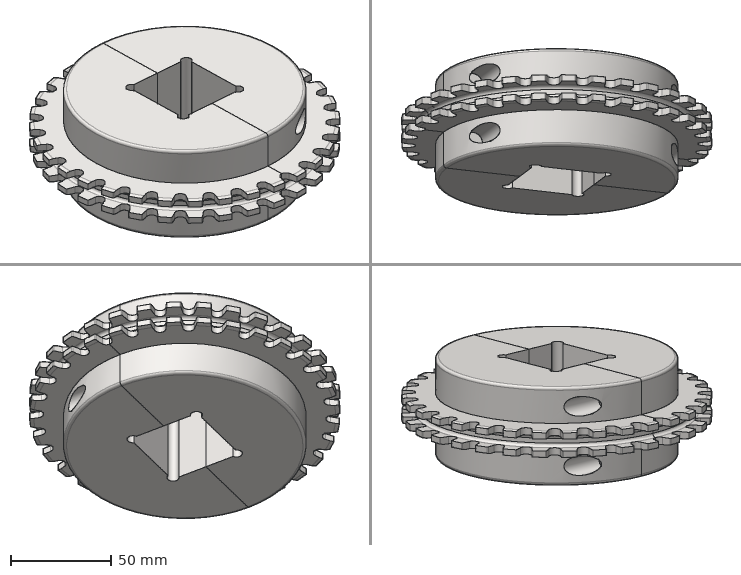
import cadquery as cq
import math


OUTER_SIZE = 154.5
TOTAL_HEIGHT = 50.8

HUB_DIAMETER = 121.0
HUB_EDGE_FILLET = 1.5

PLATE_OUTER_Z = 6.8
PLATE_INNER_Z = 3.1
GROOVE_FLOOR_RADIUS = 68.8
GROOVE_FILLET = 1.9

TOOTH_COUNT = 32
SEAT_RADIUS = 3.0
SEAT_BOTTOM_RADIUS = 70.5
FLANK_ANGLE = math.radians(15)
TIP_CORNER_RADIUS = 0.5
TIP_BEVEL_LENGTH = 2.2
TIP_BEVEL_DROP = 0.5

BORE_SIDE = 39.7
RELIEF_RADIUS = 3.0
RELIEF_OFFSET = 18.7

BOLT_HOLE_DIAMETER = 10.0
BOLT_HOLE_X = 50.8
BOLT_HOLE_Z = 15.3
BOLT_HOLE_FLOOR_Y = 15.5

HALF_HEIGHT = TOTAL_HEIGHT / 2
HUB_RADIUS = HUB_DIAMETER / 2
SEAT_CENTRE_RADIUS = SEAT_BOTTOM_RADIUS + SEAT_RADIUS
TOOTH_PITCH_ANGLE = 2 * math.pi / TOOTH_COUNT


def gap_half_width(distance):
    """Half width of a tooth gap on its flanks, at a distance along the centre line of the gap."""
    return SEAT_RADIUS / math.cos(FLANK_ANGLE) + (distance - SEAT_CENTRE_RADIUS) * math.tan(FLANK_ANGLE)


CORNER_CENTRE_X = OUTER_SIZE / 2 - TIP_CORNER_RADIUS
CORNER_CENTRE_Y = gap_half_width(CORNER_CENTRE_X) + TIP_CORNER_RADIUS / math.cos(FLANK_ANGLE)
CORNER_CENTRE_ANGLE = math.atan2(CORNER_CENTRE_Y, CORNER_CENTRE_X)
TIP_RADIUS = math.hypot(CORNER_CENTRE_X, CORNER_CENTRE_Y) + TIP_CORNER_RADIUS


def make_hub():
    hub = cq.Workplane("XY").circle(HUB_RADIUS).extrude(HALF_HEIGHT, both=True)
    return hub.faces("<Z or >Z").edges().fillet(HUB_EDGE_FILLET)


def turned(point, angle):
    """Point turned about the sprocket axis."""
    x, y = point
    return (
        x * math.cos(angle) - y * math.sin(angle),
        x * math.sin(angle) + y * math.cos(angle),
    )


def on_circle(centre, radius, angle):
    """Point on a circle, in the direction of the angle."""
    return (centre[0] + radius * math.cos(angle), centre[1] + radius * math.sin(angle))


def make_toothed_disc():
    """Disc with the tooth outline, a gap centred on the X axis, as thick as both tooth rows."""
    seat_centre = (SEAT_CENTRE_RADIUS, 0)
    corner_centre = (CORNER_CENTRE_X, CORNER_CENTRE_Y)
    flank_normal = math.pi / 2 + FLANK_ANGLE
    corner_start_angle = flank_normal - math.pi
    corner_middle_angle = (corner_start_angle + CORNER_CENTRE_ANGLE) / 2

    seat_start = on_circle(seat_centre, SEAT_RADIUS, -flank_normal)
    seat_bottom = (SEAT_BOTTOM_RADIUS, 0)
    seat_end = on_circle(seat_centre, SEAT_RADIUS, flank_normal)
    corner_start = on_circle(corner_centre, TIP_CORNER_RADIUS, corner_start_angle)
    corner_middle = on_circle(corner_centre, TIP_CORNER_RADIUS, corner_middle_angle)
    corner_end = on_circle(corner_centre, TIP_CORNER_RADIUS, CORNER_CENTRE_ANGLE)
    tip_middle = on_circle((0, 0), TIP_RADIUS, TOOTH_PITCH_ANGLE / 2)

    def mirrored(point):
        """Matching point on the far side of the tooth."""
        return turned((point[0], -point[1]), TOOTH_PITCH_ANGLE)

    outline = cq.Workplane("XY").moveTo(*seat_start)
    for index in range(TOOTH_COUNT):
        angle = index * TOOTH_PITCH_ANGLE
        outline = (
            outline
            .threePointArc(turned(seat_bottom, angle), turned(seat_end, angle))
            .lineTo(*turned(corner_start, angle))
            .threePointArc(turned(corner_middle, angle), turned(corner_end, angle))
            .threePointArc(turned(tip_middle, angle), turned(mirrored(corner_end), angle))
            .threePointArc(turned(mirrored(corner_middle), angle), turned(mirrored(corner_start), angle))
            .lineTo(*turned(mirrored(seat_end), angle))
        )
    return outline.close().extrude(PLATE_OUTER_Z, both=True)


def make_rim_envelope():
    """Turned shape that bevels the tooth tips and leaves the filleted groove between the rows."""
    arc_shift = GROOVE_FILLET * (1 - math.sqrt(0.5))
    floor_edge_z = PLATE_INNER_Z - GROOVE_FILLET
    wall_start = GROOVE_FLOOR_RADIUS + GROOVE_FILLET
    fillet_middle_radius = GROOVE_FLOOR_RADIUS + arc_shift
    fillet_middle_z = PLATE_INNER_Z - arc_shift
    bevel_start = TIP_RADIUS - TIP_BEVEL_LENGTH
    envelope_radius = TIP_RADIUS + TIP_BEVEL_LENGTH
    envelope_edge_z = PLATE_OUTER_Z - 2 * TIP_BEVEL_DROP
    profile = (
        cq.Workplane("XZ")
        .moveTo(0, PLATE_OUTER_Z)
        .lineTo(bevel_start, PLATE_OUTER_Z)
        .lineTo(envelope_radius, envelope_edge_z)
        .lineTo(envelope_radius, PLATE_INNER_Z)
        .lineTo(wall_start, PLATE_INNER_Z)
        .threePointArc((fillet_middle_radius, fillet_middle_z), (GROOVE_FLOOR_RADIUS, floor_edge_z))
        .lineTo(GROOVE_FLOOR_RADIUS, -floor_edge_z)
        .threePointArc((fillet_middle_radius, -fillet_middle_z), (wall_start, -PLATE_INNER_Z))
        .lineTo(envelope_radius, -PLATE_INNER_Z)
        .lineTo(envelope_radius, -envelope_edge_z)
        .lineTo(bevel_start, -PLATE_OUTER_Z)
        .lineTo(0, -PLATE_OUTER_Z)
        .close()
    )
    return profile.revolve(360, (0, 0, 0), (0, 1, 0))


def make_bore():
    square = cq.Workplane("XY").rect(BORE_SIDE, BORE_SIDE).extrude(HALF_HEIGHT, both=True)
    reliefs = (
        cq.Workplane("XY")
        .rect(2 * RELIEF_OFFSET, 2 * RELIEF_OFFSET, forConstruction=True)
        .vertices()
        .circle(RELIEF_RADIUS)
        .extrude(HALF_HEIGHT, both=True)
    )
    return square.union(reliefs)


def make_sprocket():
    """The complete sprocket, before it is split."""
    rim = make_toothed_disc().intersect(make_rim_envelope())
    return make_hub().union(rim).cut(make_bore())


def make_bolt_holes():
    return (
        cq.Workplane("XZ", origin=(0, BOLT_HOLE_FLOOR_Y, 0))
        .rect(2 * BOLT_HOLE_X, 2 * BOLT_HOLE_Z, forConstruction=True)
        .vertices()
        .circle(BOLT_HOLE_DIAMETER / 2)
        .extrude(-HUB_RADIUS)
    )


def half_space(side):
    """Block that covers the +Y side (side = 1) or the -Y side (side = -1) of the split plane."""
    block = cq.Workplane("XY").box(2 * OUTER_SIZE, OUTER_SIZE, 2 * TOTAL_HEIGHT)
    return block.translate((0, side * OUTER_SIZE / 2, 0))


sprocket = make_sprocket()
bolted_half = sprocket.intersect(half_space(1)).cut(make_bolt_holes())
plain_half = sprocket.intersect(half_space(-1))

result = cq.Compound.makeCompound([bolted_half.val(), plain_half.val()])